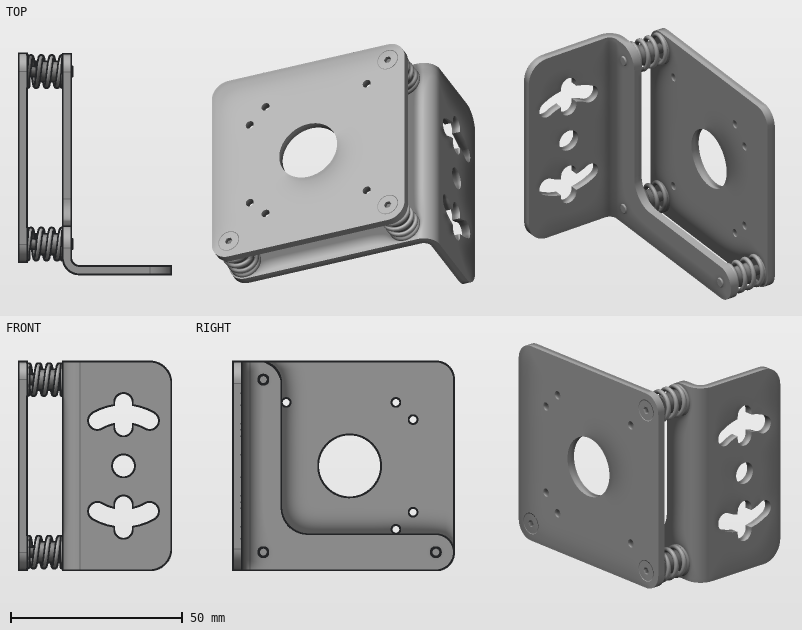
import cadquery as cq
import math


plate_size = 60.96
sheet = 2.54
plate_corner_radius = 5.25
bore_diameter = 18.3
small_hole_diameter = 2.5
small_hole_far = 18.5
small_hole_near = 13.5

overall_x = 44.58
overall_y = 64.52
gap = 10.3
bend_inner_radius = 2.4
bend_outer_radius = bend_inner_radius + sheet
arm_half_width = 5.25
arm_corner_radius = 6.35
arm_inner_radius = 7.9
flange_corner_radius = 6.35

gap_start = sheet
gap_end = gap_start + gap
bracket_back = gap_end + sheet
half_size = plate_size / 2
flange_bottom = half_size - overall_y

opening_center_x = 30.6
pivot_hole_diameter = 6.6
slot_width = 5.35
arc_slot_radius = 15.24
arc_slot_half_angle = 30
straight_slot_center = 14.93
straight_slot_length = 12.55

screw_offset = 25.146
screw_diameter = 3.0
screw_protrusion = 0.46
screw_tip_chamfer = 0.25
head_diameter = 6.15
head_clearance = 0.2
socket_flats = 2.0
socket_depth = 1.2
standoff_diameter = 6.1
standoff_start = 5.2
wire_diameter = 1.4
end_coil_wire_diameter = 1.36
coil_turns = 5
spring_outer_diameter = 9.7
spring_pitch = 3.04
coil_top_x = 5.88
pitches_to_start = 2

screw_radius = screw_diameter / 2
spring_radius = (spring_outer_diameter - wire_diameter) / 2
wire_radius = wire_diameter / 2
screw_places = [
    (-screw_offset, -screw_offset),
    (-screw_offset, screw_offset),
    (screw_offset, -screw_offset),
]


def rod(diameter, start, end):
    """Cylinder along X between two X positions."""
    return cq.Workplane("YZ", origin=(start, 0, 0)).circle(diameter / 2).extrude(end - start)


def cone(radius, tip_radius):
    """45-degree cone narrowing from the plate's outer face into the plate."""
    depth = radius - tip_radius
    solid = cq.Solid.makeCone(radius, tip_radius, depth, cq.Vector(0, 0, 0), cq.Vector(1, 0, 0))
    return cq.Workplane(obj=solid)


def make_plate():
    small_holes = [
        (small_hole_near, small_hole_far),
        (small_hole_near, -small_hole_far),
        (-small_hole_far, small_hole_far),
        (-small_hole_far, -small_hole_far),
        (small_hole_far, small_hole_near),
        (small_hole_far, -small_hole_near),
    ]
    plate = cq.Workplane("YZ").rect(plate_size, plate_size).extrude(sheet)
    plate = plate.edges("|X").fillet(plate_corner_radius)
    plate = plate.cut(rod(bore_diameter, 0, sheet))
    holes = cq.Workplane("YZ").pushPoints(small_holes).circle(small_hole_diameter / 2).extrude(sheet)
    return plate.cut(holes)


def make_arms():
    """L-shaped upright face of the bracket: one arm along the bend, one along the bottom."""
    arm_end = screw_offset + arm_half_width
    inner_edge = arm_half_width - screw_offset
    bend_line = flange_bottom + bend_outer_radius
    end_radius = (inner_edge + half_size) / 2
    return (
        cq.Workplane("YZ", origin=(gap_end, 0, 0))
        .moveTo(bend_line, -half_size)
        .lineTo(arm_end - end_radius, -half_size)
        .radiusArc((arm_end - end_radius, inner_edge), -end_radius)
        .lineTo(inner_edge + arm_inner_radius, inner_edge)
        .radiusArc((inner_edge, inner_edge + arm_inner_radius), arm_inner_radius)
        .lineTo(inner_edge, half_size - arm_corner_radius)
        .radiusArc((inner_edge - arm_corner_radius, half_size), -arm_corner_radius)
        .lineTo(bend_line, half_size)
        .close()
        .extrude(sheet)
    )


def make_flange():
    """Bend and flange, with the flange's two free corners rounded."""
    flange_top = flange_bottom + sheet
    bend_line = flange_bottom + bend_outer_radius
    flange = (
        cq.Workplane("XY", origin=(0, 0, -half_size))
        .moveTo(gap_end, bend_line)
        .radiusArc((gap_end + bend_outer_radius, flange_bottom), -bend_outer_radius)
        .lineTo(overall_x, flange_bottom)
        .lineTo(overall_x, flange_top)
        .lineTo(bracket_back + bend_inner_radius, flange_top)
        .radiusArc((bracket_back, bend_line), bend_inner_radius)
        .close()
        .extrude(plate_size)
    )
    return flange.edges("|Y and >X").fillet(flange_corner_radius)


def make_arc_slot():
    """Slot curved around the pivot hole, on its +Z side."""
    half_angle = math.radians(arc_slot_half_angle)
    outer = arc_slot_radius + slot_width / 2
    inner = arc_slot_radius - slot_width / 2
    side = math.sin(half_angle)
    rise = math.cos(half_angle)
    return (
        cq.Workplane("XZ")
        .moveTo(-outer * side, outer * rise)
        .threePointArc((0, outer), (outer * side, outer * rise))
        .radiusArc((inner * side, inner * rise), slot_width / 2)
        .threePointArc((0, inner), (-inner * side, inner * rise))
        .radiusArc((-outer * side, outer * rise), slot_width / 2)
        .close()
        .extrude(sheet)
    )


def make_flange_openings():
    straight_slot = (
        cq.Workplane("XZ")
        .center(0, straight_slot_center)
        .slot2D(straight_slot_length, slot_width, 90)
        .extrude(sheet)
    )
    upper = make_arc_slot().union(straight_slot)
    lower = upper.mirror("XY")
    pivot_hole = cq.Workplane("XZ").circle(pivot_hole_diameter / 2).extrude(sheet)
    openings = pivot_hole.union(upper).union(lower)
    return openings.translate((opening_center_x, flange_bottom + sheet, 0))


def make_screw():
    """Countersunk screw with a hexagon socket, and the standoff it runs in."""
    tip = bracket_back + screw_protrusion
    shank = rod(screw_diameter, 0, tip).faces(">X").chamfer(screw_tip_chamfer)
    screw = shank.union(cone(head_diameter / 2, screw_radius))
    screw = screw.union(rod(standoff_diameter, standoff_start, bracket_back))
    socket_corners = socket_flats / math.cos(math.radians(30))
    socket = cq.Workplane("YZ").polygon(6, socket_corners).extrude(socket_depth)
    return screw.cut(socket)


def make_spring():
    """Left-hand coil spring with flat end coils, trimmed to the gap between the sheets."""
    start_x = coil_top_x - pitches_to_start * spring_pitch
    path = cq.Wire.makeHelix(
        spring_pitch,
        coil_turns * spring_pitch,
        spring_radius,
        cq.Vector(0, 0, 0),
        cq.Vector(0, 0, 1),
        lefthand=True,
    )
    coil = (
        cq.Workplane("XZ", origin=(spring_radius, 0, 0))
        .circle(wire_radius)
        .sweep(cq.Workplane(obj=path), isFrenet=True)
    )
    coil = coil.rotate((0, 0, 0), (0, 1, 0), 90)
    coil = coil.rotate((0, 0, 0), (1, 0, 0), 180)
    coil = coil.translate((start_x, 0, 0))
    envelope_diameter = 2 * spring_outer_diameter
    spring = coil.intersect(rod(envelope_diameter, gap_start, gap_end))
    for end_x, inward in ((gap_start, 1), (gap_end, -1)):
        end_coil = cq.Solid.makeTorus(
            spring_radius,
            end_coil_wire_diameter / 2,
            cq.Vector(end_x, 0, 0),
            cq.Vector(1, 0, 0),
        )
        ground_side = rod(envelope_diameter, end_x, end_x + inward * wire_diameter)
        spring = spring.union(ground_side.intersect(cq.Workplane(obj=end_coil)))
    return spring


bracket = make_arms().union(make_flange()).cut(make_flange_openings())
result = make_plate().union(bracket)

countersink = cone(head_diameter / 2 + head_clearance, screw_radius)
screw = make_screw()
spring = make_spring()
for y, z in screw_places:
    place = (0, y, z)
    result = result.cut(countersink.translate(place))
    result = result.union(screw.translate(place))
    result = result.union(spring.translate(place))